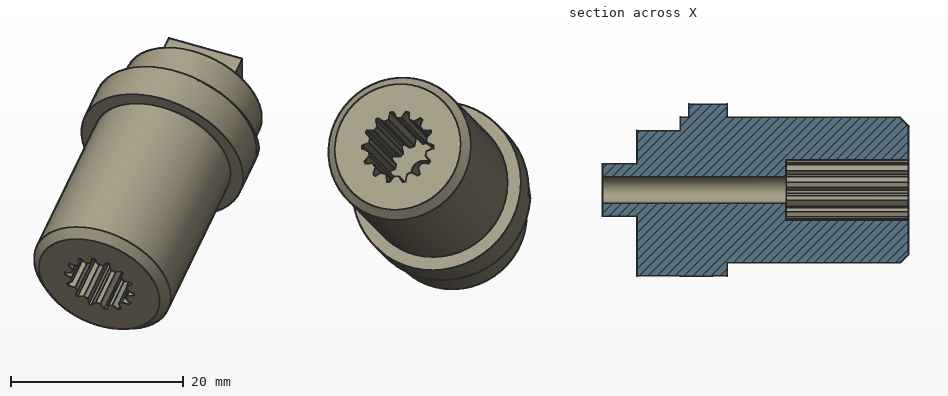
import cadquery as cq
import math


shaft_diameter = 16.9
shaft_length = 21.0
shaft_chamfer = 1.0

flange_diameter = 20.0
flange_length = 5.45
step_depth = 1.0

boss_diameter = shaft_diameter
boss_length = 5.0
eccentricity = 1.53

tang_width = 9.1
tang_height = 6.1
tang_length = 4.0

tooth_count = 14
spline_root_radius = 3.48
spline_tip_radius = 4.25
groove_base_width = 1.0
groove_tip_width = 0.32
spline_phase = -2.6
spline_depth = 14.2
bore_diameter = 3.0

flange_back = shaft_length + flange_length
boss_back = flange_back + boss_length
total_length = boss_back + tang_length


def section(y, center_z=0):
    """Plane square to the shaft axis: first axis +X, second axis +Z, normal -Y."""
    return cq.Workplane("XZ", origin=(0, y, center_z))


def disk(diameter, y, length, center_z=0):
    """Disk whose front face is at y and which extends toward +Y."""
    return section(y, center_z).circle(diameter / 2).extrude(-length)


def make_shaft():
    return disk(shaft_diameter, 0, shaft_length).faces("<Y").chamfer(shaft_chamfer)


def make_flange():
    """Flange whose rear layer is trimmed to the overlap with an equal, lowered disk."""
    step_front = flange_back - step_depth
    full_disk = disk(flange_diameter, shaft_length, flange_length - step_depth)
    lowered_disk = disk(flange_diameter, step_front, step_depth, -eccentricity)
    rear_layer = disk(flange_diameter, step_front, step_depth).intersect(lowered_disk)
    return full_disk.union(rear_layer)


def make_tang():
    return section(boss_back).rect(tang_width, tang_height).extrude(-tang_length)


def polar(radius, angle):
    return (radius * math.cos(angle), radius * math.sin(angle))


def make_spline_socket():
    """Toothed pocket: tapered grooves joined by arcs on the root circle."""
    pitch = 2 * math.pi / tooth_count
    base_half_angle = math.asin(groove_base_width / 2 / spline_root_radius)
    tip_half_angle = math.asin(groove_tip_width / 2 / spline_tip_radius)
    first_angle = math.radians(spline_phase)

    outline = section(0).moveTo(*polar(spline_root_radius, first_angle - base_half_angle))
    for i in range(tooth_count):
        groove_angle = first_angle + i * pitch
        outline = (
            outline.lineTo(*polar(spline_tip_radius, groove_angle - tip_half_angle))
            .lineTo(*polar(spline_tip_radius, groove_angle + tip_half_angle))
            .lineTo(*polar(spline_root_radius, groove_angle + base_half_angle))
            .threePointArc(
                polar(spline_root_radius, groove_angle + pitch / 2),
                polar(spline_root_radius, groove_angle + pitch - base_half_angle),
            )
        )
    return outline.close().extrude(-spline_depth)


result = (
    make_shaft()
    .union(make_flange())
    .union(disk(boss_diameter, flange_back, boss_length, -eccentricity))
    .union(make_tang())
    .cut(make_spline_socket())
    .cut(disk(bore_diameter, 0, total_length))
)